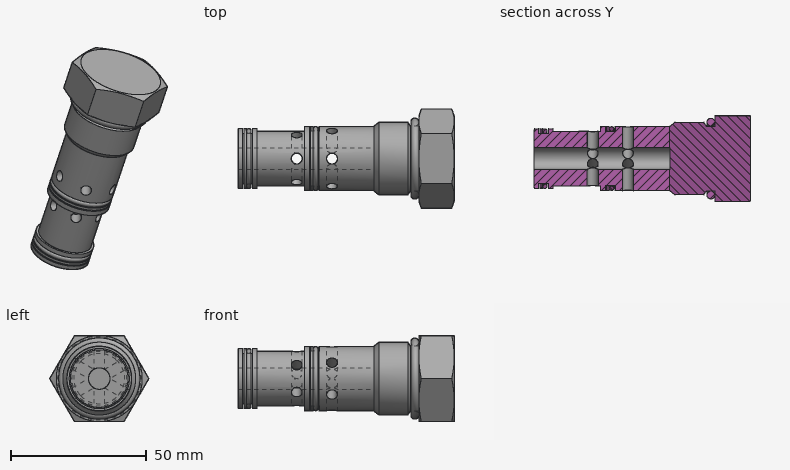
import cadquery as cq
import math


CAGE_DIA = 23.75
NOSE_DIA = 22.23
NOSE_CHAMFER_DIA = 21.26
NECK_DIA = 20.32
BORE_DIA = 7.92
PORT_DIA = 3.96
PORT_COUNT = 6

NOSE_CHAMFER_LENGTH = 0.3
NECK_START = 7.1
NECK_END = 24.6
NOSE_PORT_X = 21.75
SIDE_PORT_X = 34.75

CAGE_CORD_DIA = 1.78
CAGE_GROOVE_WIDTH = 3.55
NOSE_GROOVE_START = 1.8
MIDDLE_GROOVE_START = 26.45
BACKUP_GAP = 0.45
CORD_GAP = 0.4
BACKUP_WIDTH = CAGE_GROOVE_WIDTH - BACKUP_GAP - CAGE_CORD_DIA - CORD_GAP

CAGE_SEALS = [(NOSE_GROOVE_START, NOSE_DIA), (MIDDLE_GROOVE_START, CAGE_DIA)]

PLUG_FRONT_DIA = 24.0
PLUG_DIA = 26.9
HEX_ACROSS_FLATS = 31.75

PLUG_START = 50.2
CONE_END = 52.0
RELIEF_CHAMFER_START = 62.7
RELIEF_START = 63.7
HEX_START = 66.8
LENGTH = 80.01

PLUG_CORD_DIA = 3.0
PLUG_RING_DIA = 30.0
RELIEF_DIA = PLUG_RING_DIA - 2 * PLUG_CORD_DIA

HEX_CHAMFER_ANGLE = 20
HEX_FRONT_DIA = HEX_ACROSS_FLATS
HEX_REAR_DIA = 30.7


def revolve_profile(points):
    """Turn a closed outline of (x, radius) points about the X axis."""
    return cq.Workplane("XY").polyline(points).close().revolve(360, (0, 0, 0), (1, 0, 0))


def tube(start, width, outer_dia, inner_dia):
    """Ring of rectangular section around the X axis."""
    section = cq.Workplane("YZ", origin=(start, 0, 0)).circle(outer_dia / 2).circle(inner_dia / 2)
    return section.extrude(width)


def make_o_ring(center_x, outer_dia, cord_dia):
    cord_radius = cord_dia / 2
    section_offset = outer_dia / 2 - cord_radius
    section = cq.Workplane("XY", origin=(center_x, section_offset, 0)).circle(cord_radius)
    return section.revolve(360, (0, -section_offset, 0), (1, -section_offset, 0))


def cage_groove_floor(land_dia):
    """Groove floor diameter that lets the O-ring sit level with the land."""
    return land_dia - 2 * CAGE_CORD_DIA


def make_backup_ring(groove_start, land_dia):
    return tube(groove_start + BACKUP_GAP, BACKUP_WIDTH, land_dia, cage_groove_floor(land_dia))


def make_cage_o_ring(groove_start, land_dia):
    center_x = groove_start + CAGE_GROOVE_WIDTH - CORD_GAP - CAGE_CORD_DIA / 2
    return make_o_ring(center_x, land_dia, CAGE_CORD_DIA)


def cut_ports(body, x):
    """Drill radial holes to the axis, the first one pointing up."""
    for i in range(PORT_COUNT):
        drill = cq.Workplane("XY", origin=(x, 0, 0)).circle(PORT_DIA / 2).extrude(CAGE_DIA)
        body = body.cut(drill.rotate((0, 0, 0), (1, 0, 0), i * 360 / PORT_COUNT))
    return body


def make_cage():
    cage = revolve_profile([
        (0, BORE_DIA / 2),
        (0, NOSE_CHAMFER_DIA / 2),
        (NOSE_CHAMFER_LENGTH, NOSE_DIA / 2),
        (NECK_START, NOSE_DIA / 2),
        (NECK_START, NECK_DIA / 2),
        (NECK_END, NECK_DIA / 2),
        (NECK_END, CAGE_DIA / 2),
        (PLUG_START, CAGE_DIA / 2),
        (PLUG_START, BORE_DIA / 2),
    ])
    for start, land_dia in CAGE_SEALS:
        cage = cage.cut(tube(start, CAGE_GROOVE_WIDTH, CAGE_DIA, cage_groove_floor(land_dia)))
    for x in (NOSE_PORT_X, SIDE_PORT_X):
        cage = cut_ports(cage, x)
    return cage


def make_hexagon():
    """Hexagon with flats up and down, its corners turned off by a cone at each end."""
    across_corners = HEX_ACROSS_FLATS / math.cos(math.radians(30))
    hex_outline = cq.Workplane("YZ", origin=(HEX_START, 0, 0)).polygon(6, across_corners)
    prism = hex_outline.extrude(LENGTH - HEX_START)
    slope = math.tan(math.radians(HEX_CHAMFER_ANGLE))
    front_depth = (across_corners - HEX_FRONT_DIA) / 2 * slope
    rear_depth = (across_corners - HEX_REAR_DIA) / 2 * slope
    envelope = revolve_profile([
        (HEX_START, 0),
        (HEX_START, HEX_FRONT_DIA / 2),
        (HEX_START + front_depth, across_corners / 2),
        (LENGTH - rear_depth, across_corners / 2),
        (LENGTH, HEX_REAR_DIA / 2),
        (LENGTH, 0),
    ])
    return prism.intersect(envelope)


def make_plug():
    shank = revolve_profile([
        (PLUG_START, 0),
        (PLUG_START, PLUG_FRONT_DIA / 2),
        (CONE_END, PLUG_DIA / 2),
        (RELIEF_CHAMFER_START, PLUG_DIA / 2),
        (RELIEF_START, RELIEF_DIA / 2),
        (HEX_START, RELIEF_DIA / 2),
        (HEX_START, 0),
    ])
    return shank.union(make_hexagon())


cage = make_cage()
plug = make_plug()
backup_rings = [make_backup_ring(start, land_dia) for start, land_dia in CAGE_SEALS]
cage_o_rings = [make_cage_o_ring(start, land_dia) for start, land_dia in CAGE_SEALS]
plug_o_ring = make_o_ring(HEX_START - PLUG_CORD_DIA / 2, PLUG_RING_DIA, PLUG_CORD_DIA)

result = cq.Compound.makeCompound([
    cage.val(),
    plug.val(),
    *[ring.val() for ring in backup_rings],
    *[ring.val() for ring in cage_o_rings],
    plug_o_ring.val(),
])